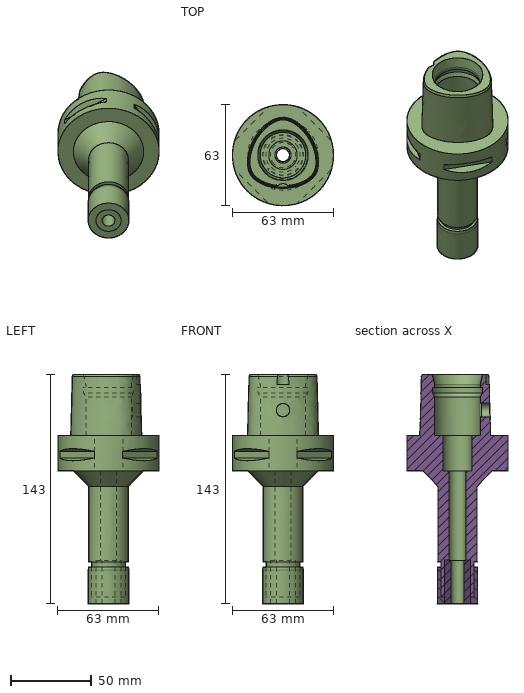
import cadquery as cq
import math

nut_top_z = 23.0
shank_bottom_z = 26.2
cone_bottom_z = 73.2
flange_bottom_z = 83.0
flange_top_z = 105.0
top_z = 143.0

flange_diameter = 63.0
flange_radius = flange_diameter / 2
cone_top_radius = 21.9
shank_diameter = 24.7
shank_radius = shank_diameter / 2
neck_radius = 10.6

lobe_mean_radius = 22.2
lobe_rise = 1.5
taper_total_narrowing = 1.9
rim_chamfer_height = 1.5
rim_chamfer_width = 0.7
lobe_curve_points = 24

mouth_radius = 15.7
lip_radius = 14.2
groove_radius = 15.5
mouth_depth = 6.5
lip_depth = 8.3
groove_depth = 11.6
groove_cone_depth = 14.2
counterbore_radius = 8.9
channel_radius = 5.0

notch_radius = 4.3
notch_axis_y = -22.0
notch_depth = 6.3
side_hole_radius = 4.1
side_hole_drop = 22.3
side_hole_floor_y = -14.9
grip_slot_z = 93.0
grip_floor_distance = 27.6
grip_floor_height = 4.0
grip_mouth_height = 7.6
grip_slot_count = 4

nut_radius = 12.7
nut_chamfer_height = 2.0
nut_chamfer_width = 0.3
nut_floor_thickness = 4.3
collet_radius = 7.9
collet_length = 27.2
collet_bore_radius = 4.0


def lobe_wire(mean_radius, z):
    """Closed constant-width curve with three lobes, one of them pointing to +Y."""
    points = []
    for i in range(lobe_curve_points):
        angle = 2 * math.pi * i / lobe_curve_points
        reach = mean_radius - lobe_rise * math.sin(3 * angle)
        reach_slope = -3 * lobe_rise * math.cos(3 * angle)
        x = reach * math.cos(angle) - reach_slope * math.sin(angle)
        y = reach * math.sin(angle) + reach_slope * math.cos(angle)
        points.append(cq.Vector(x, y, z))
    return cq.Wire.assembleEdges([cq.Edge.makeSpline(points, periodic=True)])


def make_lobed_shank():
    """Tapered shank with a chamfered rim."""
    chamfer_z = top_z - rim_chamfer_height
    chamfer_base_radius = lobe_mean_radius - taper_total_narrowing / 2
    rim_radius = chamfer_base_radius - rim_chamfer_width
    base = lobe_wire(lobe_mean_radius, flange_top_z)
    chamfer_base = lobe_wire(chamfer_base_radius, chamfer_z)
    rim = lobe_wire(rim_radius, top_z)
    taper = cq.Solid.makeLoft([base, chamfer_base], True)
    chamfer = cq.Solid.makeLoft([chamfer_base, rim], True)
    return cq.Workplane(obj=taper).union(cq.Workplane(obj=chamfer))


def revolve_profile(points):
    """Solid of revolution about Z from (radius, z) points."""
    return cq.Workplane("XZ").polyline(points).close().revolve(360, (0, 0, 0), (0, 1, 0))


def cylinder(radius, z_low, z_high):
    return cq.Workplane("XY").workplane(offset=z_low).circle(radius).extrude(z_high - z_low)


def make_holder_outside():
    """Flange, cone, shank and nut-side neck below the lobed shank."""
    turned = revolve_profile([
        (0, nut_floor_thickness),
        (neck_radius, nut_floor_thickness),
        (neck_radius, shank_bottom_z),
        (shank_radius, shank_bottom_z),
        (shank_radius, cone_bottom_z),
        (cone_top_radius, flange_bottom_z),
        (flange_radius, flange_bottom_z),
        (flange_radius, flange_top_z),
        (0, flange_top_z),
    ])
    return turned.union(make_lobed_shank())


def make_holder_bore():
    """Stepped bore from the rim down to the collet pocket, removed from the holder."""
    return revolve_profile([
        (0, 0),
        (collet_radius, 0),
        (collet_radius, collet_length),
        (channel_radius, collet_length),
        (channel_radius, flange_bottom_z),
        (counterbore_radius, flange_bottom_z),
        (counterbore_radius, flange_top_z),
        (lip_radius, flange_top_z),
        (lip_radius, top_z - groove_cone_depth),
        (groove_radius, top_z - groove_depth),
        (groove_radius, top_z - lip_depth),
        (lip_radius, top_z - lip_depth),
        (lip_radius, top_z - mouth_depth),
        (mouth_radius, top_z),
        (0, top_z),
    ])


def make_rim_notch():
    """Round-backed notch in the rim on the -Y side."""
    notch = cylinder(notch_radius, top_z - notch_depth, top_z)
    return notch.translate((0, notch_axis_y, 0))


def make_side_hole():
    """Blind round hole with a flat floor in the -Y wall of the lobed shank."""
    return (
        cq.Workplane("XZ", origin=(0, side_hole_floor_y, top_z - side_hole_drop))
        .circle(side_hole_radius)
        .extrude(flange_radius)
    )


def make_grip_slot(angle):
    """Straight slot with sloping sides across the flange edge."""
    floor_half = grip_floor_height / 2
    mouth_half = grip_mouth_height / 2
    return (
        cq.Workplane("XZ")
        .polyline([
            (grip_floor_distance, grip_slot_z - floor_half),
            (flange_radius, grip_slot_z - mouth_half),
            (flange_radius, grip_slot_z + mouth_half),
            (grip_floor_distance, grip_slot_z + floor_half),
        ])
        .close()
        .extrude(flange_radius, both=True)
        .rotate((0, 0, 0), (0, 0, 1), angle)
    )


def make_holder():
    body = make_holder_outside().cut(make_holder_bore())
    body = body.cut(make_rim_notch()).cut(make_side_hole())
    slot_pitch = 360 / grip_slot_count
    for i in range(grip_slot_count):
        body = body.cut(make_grip_slot((i + 0.5) * slot_pitch))
    return body


def make_nut():
    """Cup-shaped nut around the holder neck, open at the bottom for the collet."""
    return revolve_profile([
        (collet_radius, 0),
        (nut_radius, 0),
        (nut_radius, nut_top_z - nut_chamfer_height),
        (nut_radius - nut_chamfer_width, nut_top_z),
        (neck_radius, nut_top_z),
        (neck_radius, nut_floor_thickness),
        (collet_radius, nut_floor_thickness),
    ])


def make_collet():
    """Plain sleeve that fills the holder pocket and the nut opening."""
    sleeve = cylinder(collet_radius, 0, collet_length)
    return sleeve.cut(cylinder(collet_bore_radius, 0, collet_length))


holder = make_holder()
nut = make_nut()
collet = make_collet()

result = cq.Compound.makeCompound([holder.solids().val(), nut.val(), collet.solids().val()])